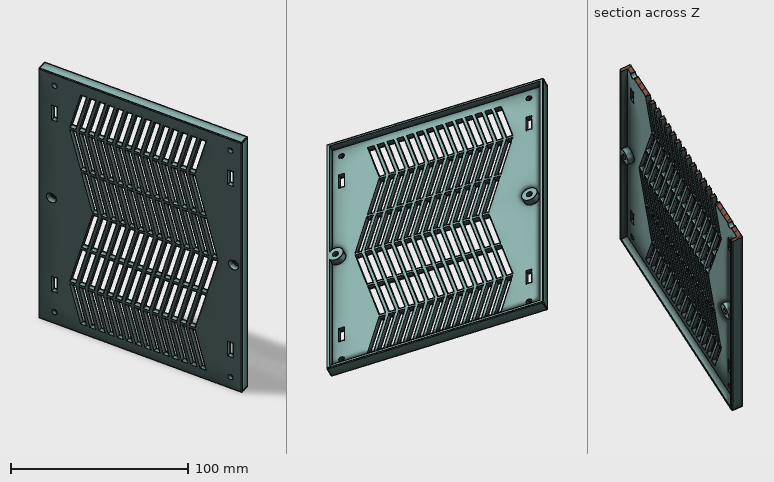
import cadquery as cq
import math

WIDTH = 133.0
DEPTH = 7.0
HEIGHT = 181.0
PANEL_THICKNESS = 3.0
RIM_THICKNESS = 2.0
EDGE_CHAMFER = 0.5

HOLE_DIAMETER = 3.4
HOLE_PATTERN_CENTER_X = 1.5
CORNER_HOLE_X = 57.5
CORNER_HOLE_Z = 82.0
SIDE_HOLE_X = 59.5
COUNTERBORE_DIAMETER = 6.5
COUNTERBORE_DEPTH = 4.0
BOSS_DIAMETER = 9.5

SLOT_X = CORNER_HOLE_X
SLOT_Z = 62.0
SLOT_WIDTH = 3.5
SLOT_HEIGHT = 10.5

VENT_COUNT = 14
VENT_PITCH = 6.0
VENT_WIDTH = 3.9
VENT_HEIGHT = 26.2
VENT_ANGLE = 15.2
ROW_PITCH = 27.9
GRILLE_CENTER_Z = -0.6
GRILLE_LEFT_X = -46.2
ROW_SLANTS = (-1, 1, 1, -1, -1, 1)

FRONT_Y = -DEPTH / 2
PANEL_BACK_Y = FRONT_Y + PANEL_THICKNESS


def on_front(y):
    """Workplane facing -Y at the given Y, with X and Z as local axes; a negative extrusion runs toward +Y."""
    return cq.Workplane("XZ", origin=(0, y, 0))


def mirrored_points(x, z):
    """Four points mirrored about the center of the hole pattern."""
    return [(HOLE_PATTERN_CENTER_X + sx * x, sz * z) for sx in (-1, 1) for sz in (-1, 1)]


def make_tray():
    block = cq.Workplane("XY").box(WIDTH, DEPTH, HEIGHT)
    block = block.edges("|Y").chamfer(EDGE_CHAMFER)
    block = block.faces("<Y or >Y").edges().chamfer(EDGE_CHAMFER)
    recess = (
        on_front(PANEL_BACK_Y)
        .rect(WIDTH - 2 * RIM_THICKNESS, HEIGHT - 2 * RIM_THICKNESS)
        .extrude(-DEPTH)
    )
    return block.cut(recess)


def side_hole_points():
    return [(HOLE_PATTERN_CENTER_X + side * SIDE_HOLE_X, 0) for side in (-1, 1)]


def make_bosses():
    """Round bosses behind the panel that hold the deep counterbores."""
    return on_front(FRONT_Y).pushPoints(side_hole_points()).circle(BOSS_DIAMETER / 2).extrude(-DEPTH)


def make_screw_holes():
    side_points = side_hole_points()
    points = mirrored_points(CORNER_HOLE_X, CORNER_HOLE_Z) + side_points
    holes = on_front(FRONT_Y).pushPoints(points).circle(HOLE_DIAMETER / 2).extrude(-DEPTH)
    bores = (
        on_front(FRONT_Y)
        .pushPoints(side_points)
        .circle(COUNTERBORE_DIAMETER / 2)
        .extrude(-COUNTERBORE_DEPTH)
    )
    return holes.union(bores)


def make_corner_slots():
    return (
        on_front(FRONT_Y)
        .pushPoints(mirrored_points(SLOT_X, SLOT_Z))
        .rect(SLOT_WIDTH, SLOT_HEIGHT)
        .extrude(-PANEL_THICKNESS)
    )


def make_vent_row(center_x, center_z, slant):
    """One row of parallelograms; center_x is the middle of the first vent's left side."""
    lean = slant * VENT_HEIGHT / 2 * math.tan(math.radians(VENT_ANGLE))
    top = center_z + VENT_HEIGHT / 2
    bottom = center_z - VENT_HEIGHT / 2
    row = on_front(FRONT_Y)
    for column in range(VENT_COUNT):
        left = center_x + column * VENT_PITCH
        right = left + VENT_WIDTH
        row = row.polyline(
            [(left - lean, top), (right - lean, top), (right + lean, bottom), (left + lean, bottom)]
        ).close()
    return row.extrude(-PANEL_THICKNESS)


def cut_grille(body):
    """Each row starts where the previous one ended, so the vents follow a zigzag line."""
    row_count = len(ROW_SLANTS)
    row_shift = ROW_PITCH * math.tan(math.radians(VENT_ANGLE))
    row_top_x = GRILLE_LEFT_X + row_shift
    top_row_z = GRILLE_CENTER_Z + ROW_PITCH * (row_count - 1) / 2
    for row, slant in enumerate(ROW_SLANTS):
        center_x = row_top_x + slant * row_shift / 2
        body = body.cut(make_vent_row(center_x, top_row_z - row * ROW_PITCH, slant))
        row_top_x += slant * row_shift
    return body


result = make_tray().union(make_bosses()).cut(make_screw_holes()).cut(make_corner_slots())
result = cut_grille(result)